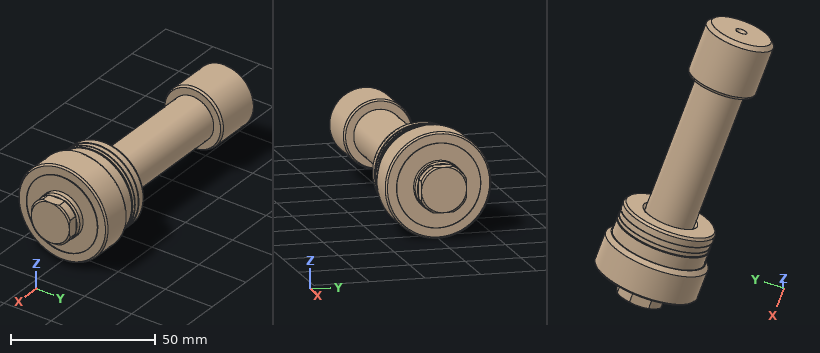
import cadquery as cq
import math

TOTAL_LENGTH = 105.0
HEAD_END = 20.4
RING_START = 72.6
WIDE_RIM_START = 84.8
WIDE_RIM_END = 97.9
COLLAR_END = 101.0

SHAFT_RADIUS = 9.0
HEAD_RADIUS = 12.5
HEAD_FRONT_CHAMFER = 1.5
EDGE_CHAMFER_LENGTH = 0.9
EDGE_CHAMFER_DEPTH = EDGE_CHAMFER_LENGTH * math.tan(math.radians(30))
TIP_RADIUS = 8.8
TIP_CHAMFER_LENGTH = 0.4
TIP_CHAMFER_DEPTH = 0.7
SQUARE_SIZE = 16.2

CENTRE_MOUTH_RADIUS = 2.0
CENTRE_DRILL_RADIUS = 1.0
CENTRE_CONE_DEPTH = (CENTRE_MOUTH_RADIUS - CENTRE_DRILL_RADIUS) / math.tan(math.radians(30))
CENTRE_DRILL_LENGTH = 2.1
CENTRE_POINT_LENGTH = CENTRE_DRILL_RADIUS / math.tan(math.radians(60))

NECK_RADIUS = 17.0
NECK_CHAMFER_LENGTH = 0.9
NECK_CHAMFER_DEPTH = 0.6
RIM_RADIUS = 19.0
RIM_FRONT_CHAMFER = 1.6
RIM_BACK_CHAMFER = 0.6
BACK_BOSS_RADIUS = 15.1
BACK_BOSS_HEIGHT = 0.3
BORE_CHAMFER = 1.0
WIDE_GROOVE_START = 76.0
WIDE_GROOVE_WIDTH = 2.2
WIDE_GROOVE_DEPTH = 0.3
NARROW_GROOVE_START = 79.7
NARROW_GROOVE_WIDTH = 0.3
NARROW_GROOVE_DEPTH = 0.3


def revolve_profile(points):
    """Solid of revolution about X from (x, radius) points."""
    return cq.Workplane("XY").polyline(points).close().revolve(360, (0, 0, 0), (1, 0, 0))


def cylinder_along_x(start, length, radius):
    return cq.Workplane("YZ", origin=(start, 0, 0)).circle(radius).extrude(length)


def make_centre_hole():
    drill_end = CENTRE_CONE_DEPTH + CENTRE_DRILL_LENGTH
    return revolve_profile([
        (0, 0),
        (0, CENTRE_MOUTH_RADIUS),
        (CENTRE_CONE_DEPTH, CENTRE_DRILL_RADIUS),
        (drill_end, CENTRE_DRILL_RADIUS),
        (drill_end + CENTRE_POINT_LENGTH, 0),
    ])


def make_square_tip():
    """Round tip with four flats and a chamfered end."""
    length = TOTAL_LENGTH - COLLAR_END
    round_tip = revolve_profile([
        (COLLAR_END, 0),
        (COLLAR_END, TIP_RADIUS),
        (TOTAL_LENGTH - TIP_CHAMFER_LENGTH, TIP_RADIUS),
        (TOTAL_LENGTH, TIP_RADIUS - TIP_CHAMFER_DEPTH),
        (TOTAL_LENGTH, 0),
    ])
    square = cq.Workplane("YZ", origin=(COLLAR_END, 0, 0)).rect(SQUARE_SIZE, SQUARE_SIZE).extrude(length)
    return round_tip.intersect(square)


def make_shaft():
    """Headed shaft, passing through the ring and ending in a square tip."""
    turned = revolve_profile([
        (0, 0),
        (0, HEAD_RADIUS - HEAD_FRONT_CHAMFER),
        (HEAD_FRONT_CHAMFER, HEAD_RADIUS),
        (HEAD_END - EDGE_CHAMFER_LENGTH, HEAD_RADIUS),
        (HEAD_END, HEAD_RADIUS - EDGE_CHAMFER_DEPTH),
        (HEAD_END, SHAFT_RADIUS),
        (COLLAR_END - EDGE_CHAMFER_LENGTH, SHAFT_RADIUS),
        (COLLAR_END, SHAFT_RADIUS - EDGE_CHAMFER_DEPTH),
        (COLLAR_END, 0),
    ])
    return turned.union(make_square_tip()).cut(make_centre_hole())


def make_groove(start, width, depth):
    outer = cylinder_along_x(start, width, RIM_RADIUS)
    return outer.cut(cylinder_along_x(start, width, NECK_RADIUS - depth))


def make_ring():
    """Stepped ring fitted around the shaft, with two grooves in its neck."""
    back_face = WIDE_RIM_END + BACK_BOSS_HEIGHT
    ring = revolve_profile([
        (RING_START, SHAFT_RADIUS + BORE_CHAMFER),
        (RING_START, NECK_RADIUS - NECK_CHAMFER_DEPTH),
        (RING_START + NECK_CHAMFER_LENGTH, NECK_RADIUS),
        (WIDE_RIM_START, NECK_RADIUS),
        (WIDE_RIM_START, RIM_RADIUS - RIM_FRONT_CHAMFER),
        (WIDE_RIM_START + RIM_FRONT_CHAMFER, RIM_RADIUS),
        (WIDE_RIM_END - RIM_BACK_CHAMFER, RIM_RADIUS),
        (WIDE_RIM_END, RIM_RADIUS - RIM_BACK_CHAMFER),
        (WIDE_RIM_END, BACK_BOSS_RADIUS),
        (back_face, BACK_BOSS_RADIUS),
        (back_face, SHAFT_RADIUS),
        (RING_START + BORE_CHAMFER, SHAFT_RADIUS),
    ])
    ring = ring.cut(make_groove(WIDE_GROOVE_START, WIDE_GROOVE_WIDTH, WIDE_GROOVE_DEPTH))
    return ring.cut(make_groove(NARROW_GROOVE_START, NARROW_GROOVE_WIDTH, NARROW_GROOVE_DEPTH))


shaft = make_shaft()
ring = make_ring()
result = cq.Compound.makeCompound([shaft.val(), ring.val()])